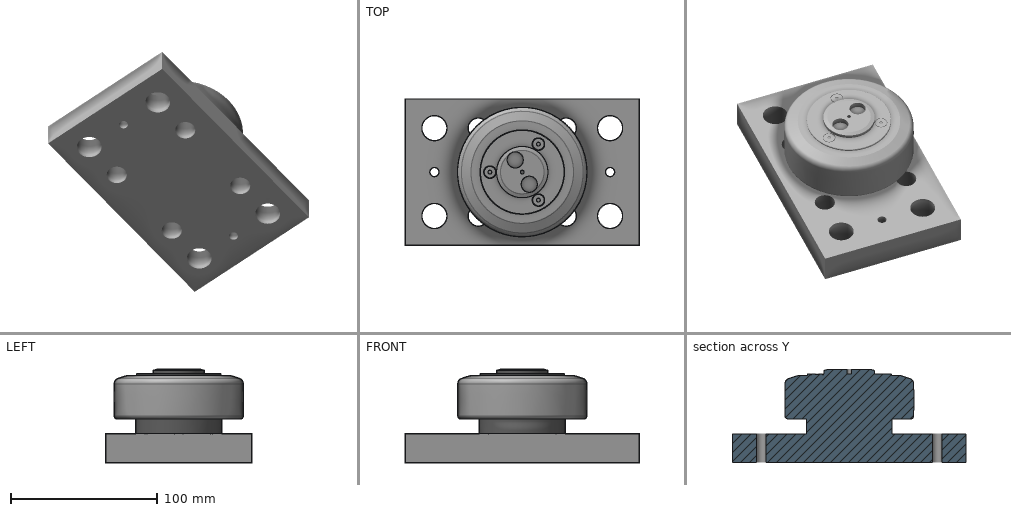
import cadquery as cq
import math

plate_length = 160.0
plate_width = 100.0
plate_thickness = 20.0
corner_hole_diameter = 17.0
inner_hole_diameter = 13.8
dowel_hole_diameter = 6.0
outer_hole_x = 60.0
inner_hole_x = outer_hole_x / 2
hole_row_y = 30.0

roller_bottom_z = 30.0
roller_top_z = 59.8
cover_top_z = 61.0
cap_top_z = 64.0

neck_diameter = 59.0
roller_edge_diameter = 88.3
roller_crown_diameter = 88.6
roller_top_diameter = 70.0
bevel_outer_diameter = 83.2
bevel_drop = 2.0
shoulder_height = 4.0
bottom_round = 2.2
cover_diameter = 57.8
cover_chamfer = 0.3
cap_diameter = 35.0
cap_face_diameter = 29.8
cap_chamfer_height = 0.72

centre_hole_diameter = 2.5
centre_hole_depth = 3.0
spanner_hole_diameter = 11.0
spanner_hole_depth = 4.0
spanner_circle_radius = 9.6
spanner_angles = (120, 300)

screw_circle_radius = 22.0
screw_angles = (60, 180, 300)
screw_recess_diameter = 8.6
screw_recess_depth = 0.8
screw_head_diameter = 7.8
screw_socket_diameter = 2.5
screw_socket_depth = 0.5


def polar_points(radius, angles):
    """Points on a circle about the roller axis, at angles in degrees."""
    return [
        (radius * math.cos(math.radians(a)), radius * math.sin(math.radians(a)))
        for a in angles
    ]


def discs(points, diameter, bottom_z, top_z):
    """Upright cylinders of one diameter at each of the points."""
    return (
        cq.Workplane("XY")
        .workplane(offset=bottom_z)
        .pushPoints(points)
        .circle(diameter / 2)
        .extrude(top_z - bottom_z)
    )


def make_plate():
    corner_points = [(sx * outer_hole_x, sy * hole_row_y) for sx in (-1, 1) for sy in (-1, 1)]
    inner_points = [(sx * inner_hole_x, sy * hole_row_y) for sx in (-1, 1) for sy in (-1, 1)]
    dowel_points = [(-outer_hole_x, 0), (outer_hole_x, 0)]
    plate = cq.Workplane("XY").box(
        plate_length, plate_width, plate_thickness, centered=(True, True, False)
    )
    for points, diameter in (
        (corner_points, corner_hole_diameter),
        (inner_points, inner_hole_diameter),
        (dowel_points, dowel_hole_diameter),
    ):
        plate = plate.cut(discs(points, diameter, 0, plate_thickness))
    return plate


def make_turned_body():
    """Neck, crowned roller, cover and cap turned as one half section about Z."""
    neck_r = neck_diameter / 2
    roller_r = roller_edge_diameter / 2
    crown_r = roller_crown_diameter / 2
    bevel_r = bevel_outer_diameter / 2
    cover_r = cover_diameter / 2
    bevel_z = roller_top_z - bevel_drop
    crown_bottom_z = roller_bottom_z + bottom_round
    crown_top_z = bevel_z - shoulder_height
    crown_middle_z = (crown_bottom_z + crown_top_z) / 2
    section = (
        cq.Workplane("XZ")
        .moveTo(0, plate_thickness)
        .lineTo(neck_r, plate_thickness)
        .lineTo(neck_r, roller_bottom_z)
        .lineTo(roller_r - bottom_round, roller_bottom_z)
        .radiusArc((roller_r, crown_bottom_z), -bottom_round)
        .threePointArc((crown_r, crown_middle_z), (roller_r, crown_top_z))
        .radiusArc((bevel_r, bevel_z), -shoulder_height)
        .lineTo(roller_top_diameter / 2, roller_top_z)
        .lineTo(cover_r, roller_top_z)
        .lineTo(cover_r, cover_top_z - cover_chamfer)
        .lineTo(cover_r - cover_chamfer, cover_top_z)
        .lineTo(cap_diameter / 2, cover_top_z)
        .lineTo(cap_diameter / 2, cap_top_z - cap_chamfer_height)
        .lineTo(cap_face_diameter / 2, cap_top_z)
        .lineTo(0, cap_top_z)
        .close()
    )
    return section.revolve(360, (0, 0, 0), (0, 1, 0))


def cut_cap_holes(body):
    spanner_points = polar_points(spanner_circle_radius, spanner_angles)
    spanner_holes = discs(
        spanner_points, spanner_hole_diameter, cap_top_z - spanner_hole_depth, cap_top_z
    )
    centre_hole = discs([(0, 0)], centre_hole_diameter, cap_top_z - centre_hole_depth, cap_top_z)
    return body.cut(spanner_holes).cut(centre_hole)


def add_screws(body):
    """Sunk screw heads, flush with the cover, each with a drive socket."""
    points = polar_points(screw_circle_radius, screw_angles)
    recesses = discs(points, screw_recess_diameter, cover_top_z - screw_recess_depth, cover_top_z)
    heads = discs(points, screw_head_diameter, cover_top_z - screw_recess_depth, cover_top_z)
    sockets = discs(points, screw_socket_diameter, cover_top_z - screw_socket_depth, cover_top_z)
    return body.cut(recesses).union(heads).cut(sockets)


roller = add_screws(cut_cap_holes(make_turned_body()))
result = make_plate().union(roller)